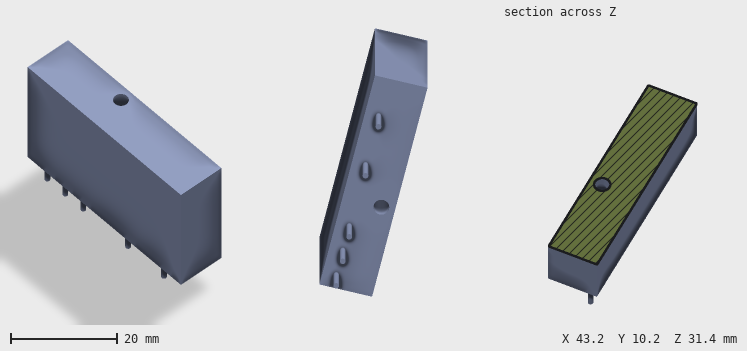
import cadquery as cq

length = 43.2
width = 10.2
overall_height = 31.35
pin_length = 6.0
housing_height = overall_height - pin_length

pin_diameter = 1.1
pin_pitch = 5.05
pin_grid = pin_pitch / 2
first_pin_x = 2.7
pin_row_y = 2.6
pin_grid_steps = (0, 2, 4, 9, 13)

hole_diameter = 3.0
hole_x = 17.85
hole_y = width - 2.65


def make_housing():
    block = cq.Workplane("XY").box(length, width, housing_height, centered=False)
    hole = (
        cq.Workplane("XY")
        .center(hole_x, hole_y)
        .circle(hole_diameter / 2)
        .extrude(housing_height)
    )
    return block.cut(hole)


def make_pins():
    centers = [(first_pin_x + step * pin_grid, pin_row_y) for step in pin_grid_steps]
    return (
        cq.Workplane("XY")
        .pushPoints(centers)
        .circle(pin_diameter / 2)
        .extrude(-pin_length)
    )


result = make_housing().union(make_pins())